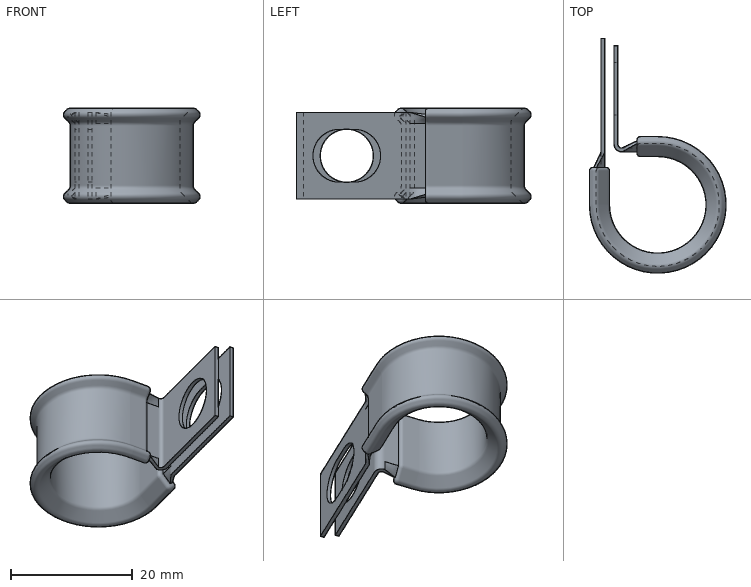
import cadquery as cq
import math


BODY_INNER_R = 7.9
BODY_OUTER_R = 10.1
RIM_OUTER_R = 11.25
CUSHION_WIDTH = 15.65
INNER_BEND_Z = 5.87
OUTER_BEND_Z = 5.3
RIM_FILLET = 0.75
BEND_FILLET = 0.93
END_FILLET = 0.58

SHORT_LEG = 3.45
LONG_LEG = 6.18

STRAP_T = 0.65
STRAP_R = (BODY_INNER_R + BODY_OUTER_R) / 2
STRAP_WIDTH = 14.25
STRAP_BEND_R = 0.95
STRAP_OVERLAP = 1.15
FLARE_BEND_Z = 5.33
FLARE_LENGTH = 2.47

OVERALL_LENGTH = 38.62
OUTER_TAB_END_Y = OVERALL_LENGTH - RIM_OUTER_R
INNER_TAB_END_Y = 26.2
HOLE_Y = 19.08
HOLE_D = 8.7
SLOT_LENGTH = 11.12

COS45 = math.sqrt(0.5)


def cushion_profile():
    """Closed wire of the cushion section in the XZ plane, on the +X side."""
    corner_overhang = RIM_FILLET * (math.sqrt(2) - 1)
    tip_top_z = CUSHION_WIDTH / 2 + corner_overhang
    tip_top_r = BODY_INNER_R + tip_top_z - INNER_BEND_Z
    tip_side_r = RIM_OUTER_R + corner_overhang
    tip_side_z = OUTER_BEND_Z + tip_side_r - BODY_OUTER_R
    upper_half = [
        (BODY_OUTER_R, OUTER_BEND_Z),
        (tip_side_r, tip_side_z),
        (tip_top_r, tip_top_z),
        (BODY_INNER_R, INNER_BEND_Z),
    ]
    lower_half = [(r, -z) for r, z in reversed(upper_half)]
    corners = [cq.Vector(r, 0, z) for r, z in upper_half + lower_half]
    wire = cq.Wire.makePolygon(corners, close=True)
    above_bends_z = (INNER_BEND_Z + tip_side_z) / 2
    rims = [v for v in wire.Vertices() if abs(v.Z) > above_bends_z]
    bends = [v for v in wire.Vertices() if abs(v.Z) < above_bends_z]
    wire = wire.fillet2D(BEND_FILLET, bends)
    return wire.fillet2D(RIM_FILLET, rims)


def make_cushion():
    """Three-quarter ring with a straight leg tangent to each end."""
    axis = cq.Vector(0, 0, 1)
    origin = cq.Vector(0, 0, 0)
    top = cushion_profile().rotate(origin, axis, 90)
    left = cushion_profile().rotate(origin, axis, 180)
    ring = cq.Solid.revolve(left, [], 270, origin, axis)
    short_leg = cq.Solid.extrudeLinear(top, [], cq.Vector(-SHORT_LEG, 0, 0))
    long_leg = cq.Solid.extrudeLinear(left, [], cq.Vector(0, LONG_LEG, 0))
    cushion = cq.Workplane(ring)
    for leg in (short_leg, long_leg):
        cushion = cushion.union(cq.Workplane(leg))
    for end_centre in ((-SHORT_LEG, STRAP_R, 0), (-STRAP_R, LONG_LEG, 0)):
        end_face = cq.selectors.NearestToPointSelector(end_centre)
        cushion = cushion.faces(end_face).edges().fillet(END_FILLET)
    return cushion


def flared_strap(leg):
    """Strap leaving the top of the ring along -X, its edges flattening out past the leg."""
    inner = STRAP_R - STRAP_T / 2
    outer = STRAP_R + STRAP_T / 2
    edge_z = STRAP_WIDTH / 2
    flare = (edge_z - FLARE_BEND_Z) * COS45
    half_t = STRAP_T / 2 * COS45
    tip_y = STRAP_R + flare
    tip_z = FLARE_BEND_Z + flare
    bent = [
        (inner, FLARE_BEND_Z),
        (outer, FLARE_BEND_Z),
        (tip_y + half_t, tip_z - half_t),
        (tip_y - half_t, tip_z + half_t),
    ]
    flat = [(inner, FLARE_BEND_Z), (outer, FLARE_BEND_Z), (outer, edge_z), (inner, edge_z)]

    def section(x, points, side):
        return cq.Wire.makePolygon([cq.Vector(x, y, side * z) for y, z in points], close=True)

    length = STRAP_OVERLAP + FLARE_LENGTH
    middle_x = STRAP_OVERLAP - leg - length / 2
    strap = cq.Workplane().box(length, STRAP_T, 2 * FLARE_BEND_Z).translate((middle_x, STRAP_R, 0))
    for side in (1, -1):
        sections = [section(-leg, bent, side), section(-leg - FLARE_LENGTH, flat, side)]
        strap = strap.union(cq.Workplane(cq.Solid.makeLoft(sections, True)))
    return strap


def tab(x, start_y, end_y):
    """Flat tab in a YZ plane centred on the given X."""
    return (
        cq.Workplane()
        .box(STRAP_T, end_y - start_y, STRAP_WIDTH)
        .translate((x, (start_y + end_y) / 2, 0))
    )


def hole_plane(x):
    """Workplane facing +X at the centre of a tab's mounting hole."""
    return cq.Workplane("YZ", origin=(x, HOLE_Y, 0))


def make_outer_arm():
    """Straight tab in line with the long leg, with a slotted hole."""
    flared = flared_strap(LONG_LEG).rotate((0, 0, 0), (-1, 1, 0), 180)
    slot = hole_plane(-STRAP_R).slot2D(SLOT_LENGTH, HOLE_D).extrude(STRAP_T, both=True)
    outer_tab = tab(-STRAP_R, LONG_LEG + FLARE_LENGTH, OUTER_TAB_END_Y).cut(slot)
    return flared.union(outer_tab)


def make_inner_arm():
    """Tab bent a quarter turn from the short leg, with a round hole."""
    bend_x = -SHORT_LEG - FLARE_LENGTH
    tab_start_y = STRAP_R + STRAP_BEND_R
    tab_x = bend_x - STRAP_BEND_R
    bend = (
        cq.Workplane("YZ", origin=(bend_x, STRAP_R, 0))
        .rect(STRAP_T, STRAP_WIDTH)
        .revolve(90, (STRAP_BEND_R, 0.4), (STRAP_BEND_R, 0))
    )
    hole = hole_plane(tab_x).circle(HOLE_D / 2).extrude(STRAP_T, both=True)
    inner_tab = tab(tab_x, tab_start_y, INNER_TAB_END_Y).cut(hole)
    return flared_strap(SHORT_LEG).union(bend).union(inner_tab)


result = make_cushion().union(make_outer_arm()).union(make_inner_arm())